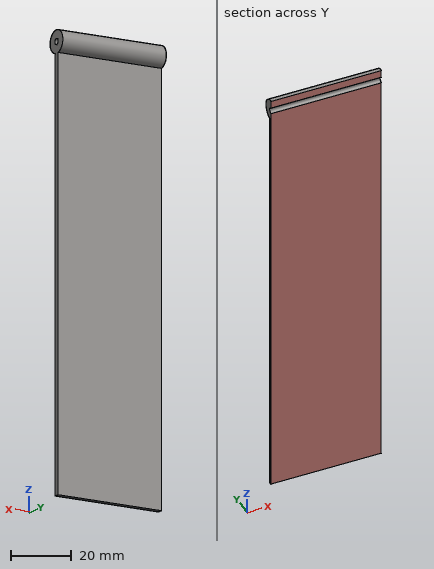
import cadquery as cq

total_height = 157.9
width = 40.0

barrel_diameter = 8.0
hole_diameter = 2.0
plate_thickness = 2.0

barrel_radius = barrel_diameter / 2
plate_length = total_height - barrel_radius


def cylinder_along_x(diameter):
    return cq.Workplane("YZ").circle(diameter / 2).extrude(width / 2, both=True)


plate = cq.Workplane("XY").rect(width, plate_thickness).extrude(-plate_length)

result = plate.union(cylinder_along_x(barrel_diameter)).cut(cylinder_along_x(hole_diameter))